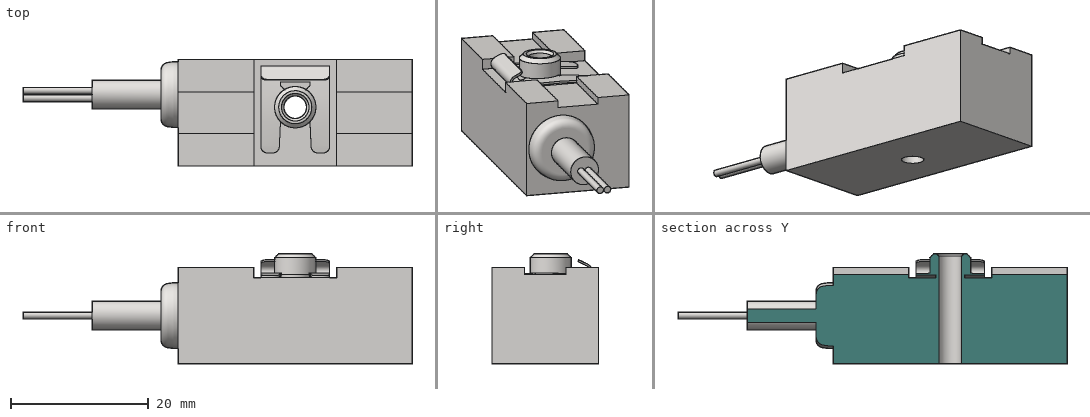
import cadquery as cq
import math

BODY_LENGTH = 34.0
BODY_WIDTH = 15.5
BODY_HEIGHT = 14.0

NOTCH_WIDTH = 12.0
NOTCH_DEPTH = 1.5
GROOVE_WIDTH = 6.0
GROOVE_DEPTH = 1.0
FLOOR_Z = BODY_HEIGHT - NOTCH_DEPTH

SCREW_X = BODY_LENGTH / 2
SCREW_Y = BODY_WIDTH - 6.95
SCREW_TOP_Z = 16.0
HEAD_DIAMETER = 6.0
HEAD_BEVEL_HEIGHT = 0.6
HEAD_TOP_DIAMETER = HEAD_DIAMETER - 2 * HEAD_BEVEL_HEIGHT
HEAD_UNDERSIDE_Z = FLOOR_Z + 0.5
NECK_DIAMETER = 4.2
BORE_DIAMETER = 3.24
BORE_MOUTH_DIAMETER = 4.0
BORE_MOUTH_DEPTH = (BORE_MOUTH_DIAMETER - BORE_DIAMETER) / 2

CLIP_WIDTH = 10.0
CLIP_THICKNESS = 0.3
CLIP_END_SLOPE = math.radians(8)
CLIP_TIP_Y = 1.9
CLIP_BACK_Y = BODY_WIDTH - 1.0
BEND_RADIUS = 1.05
FLAP_ANGLE = math.radians(26)
FLAP_LENGTH = 1.45
FLAP_CORNER_RADIUS = 0.8
LEG_TIP_RADIUS = 1.0
LEG_GAP_AT_ROOT = 4.3
LEG_GAP_AT_TIP = 4.7
LEG_ROOT_Y = SCREW_Y - 2.3
THROAT_WIDTH = 4.0
WINDOW_WIDTH = 4.3
WINDOW_BACK_Y = BODY_WIDTH - 3.3
WINDOW_BEVEL_Y = BODY_WIDTH - 3.8
WINDOW_FRONT_Y = SCREW_Y + THROAT_WIDTH / 2

CABLE_Y = BODY_WIDTH - 5.12
CABLE_Z = 7.0
GLAND_DIAMETER = 9.6
GLAND_LENGTH = 2.5
GLAND_COLLAR_LENGTH = 0.65
GLAND_TAPER = math.radians(8)
GLAND_EDGE_RADIUS = 1.15
CABLE_DIAMETER = 4.2
CABLE_END_X = -12.5
WIRE_DIAMETER = 1.0
WIRE_PITCH = 1.1
WIRE_END_X = -22.5


def make_body():
    """Rectangular block with the cross notch and the lengthwise groove."""
    body = cq.Workplane("XY").box(BODY_LENGTH, BODY_WIDTH, BODY_HEIGHT, centered=False)
    notch = (
        cq.Workplane("XY", origin=(BODY_LENGTH / 2, BODY_WIDTH / 2, FLOOR_Z))
        .rect(NOTCH_WIDTH, BODY_WIDTH)
        .extrude(NOTCH_DEPTH)
    )
    groove = (
        cq.Workplane("XY", origin=(BODY_LENGTH / 2, BODY_WIDTH / 2, BODY_HEIGHT - GROOVE_DEPTH))
        .rect(BODY_LENGTH, GROOVE_WIDTH)
        .extrude(GROOVE_DEPTH)
    )
    return body.cut(notch).cut(groove)


def make_screw():
    """Solid screw with a bevelled head and a narrower neck down to the notch floor."""
    head_radius = HEAD_DIAMETER / 2
    neck_radius = NECK_DIAMETER / 2
    return (
        cq.Workplane("XZ", origin=(SCREW_X, SCREW_Y, 0))
        .moveTo(0, FLOOR_Z)
        .lineTo(neck_radius, FLOOR_Z)
        .lineTo(neck_radius, HEAD_UNDERSIDE_Z)
        .lineTo(head_radius, HEAD_UNDERSIDE_Z)
        .lineTo(head_radius, SCREW_TOP_Z - HEAD_BEVEL_HEIGHT)
        .lineTo(HEAD_TOP_DIAMETER / 2, SCREW_TOP_Z)
        .lineTo(0, SCREW_TOP_Z)
        .close()
        .revolve(360, (0, 0, 0), (0, 1, 0))
    )


def make_bore():
    """Through bore of the screw and body, with a 45 degree countersunk mouth."""
    bore_radius = BORE_DIAMETER / 2
    return (
        cq.Workplane("XZ", origin=(SCREW_X, SCREW_Y, 0))
        .moveTo(0, 0)
        .lineTo(bore_radius, 0)
        .lineTo(bore_radius, SCREW_TOP_Z - BORE_MOUTH_DEPTH)
        .lineTo(BORE_MOUTH_DIAMETER / 2, SCREW_TOP_Z)
        .lineTo(0, SCREW_TOP_Z)
        .close()
        .revolve(360, (0, 0, 0), (0, 1, 0))
    )


def make_bent_strip():
    """Full-width clip strip: bowed plate, round bend at the back, flap rising over the plate."""
    inner_radius = BEND_RADIUS - CLIP_THICKNESS
    bend_y = CLIP_BACK_Y - BEND_RADIUS
    bend_z = FLOOR_Z + BEND_RADIUS * math.cos(CLIP_END_SLOPE)

    def plate_end(radius):
        """Point where the plate meets the bend circle of the given radius tangentially."""
        y = bend_y - radius * math.sin(CLIP_END_SLOPE)
        z = bend_z - radius * math.cos(CLIP_END_SLOPE)
        return (y, z)

    def flap_point(radius, along):
        """Point on the flap face tangent to the bend circle of the given radius."""
        y = bend_y + radius * math.sin(FLAP_ANGLE) - along * math.cos(FLAP_ANGLE)
        z = bend_z + radius * math.cos(FLAP_ANGLE) + along * math.sin(FLAP_ANGLE)
        return (y, z)

    plate_half_span = (plate_end(BEND_RADIUS)[0] - CLIP_TIP_Y) / 2
    crown_y = CLIP_TIP_Y + plate_half_span
    crown_z = FLOOR_Z + plate_half_span * math.tan(CLIP_END_SLOPE / 2)

    strip = (
        cq.Workplane("YZ", origin=(SCREW_X - CLIP_WIDTH / 2, 0, 0))
        .moveTo(CLIP_TIP_Y, FLOOR_Z)
        .threePointArc((crown_y, crown_z), plate_end(BEND_RADIUS))
        .threePointArc((bend_y + BEND_RADIUS, bend_z), flap_point(BEND_RADIUS, 0))
        .lineTo(*flap_point(BEND_RADIUS, FLAP_LENGTH))
        .lineTo(*flap_point(inner_radius, FLAP_LENGTH))
        .lineTo(*flap_point(inner_radius, 0))
        .threePointArc((bend_y + inner_radius, bend_z), plate_end(inner_radius))
        .threePointArc((crown_y, crown_z + CLIP_THICKNESS), (CLIP_TIP_Y, FLOOR_Z + CLIP_THICKNESS))
        .close()
        .extrude(CLIP_WIDTH)
    )
    flap_end_center = flap_point(BEND_RADIUS - CLIP_THICKNESS / 2, FLAP_LENGTH)
    flap_end = cq.selectors.NearestToPointSelector((SCREW_X, *flap_end_center))
    return strip.faces(flap_end).edges("#X").fillet(FLAP_CORNER_RADIUS)


def make_leg_gap():
    """Cutter between the legs, widening slightly toward the rounded leg tips."""
    root = LEG_GAP_AT_ROOT / 2
    tip = LEG_GAP_AT_TIP / 2
    throat = THROAT_WIDTH / 2
    return (
        cq.Workplane("XY", origin=(SCREW_X, 0, FLOOR_Z))
        .polyline([
            (-tip, CLIP_TIP_Y),
            (-root, LEG_ROOT_Y),
            (-throat, LEG_ROOT_Y),
            (-throat, SCREW_Y),
            (throat, SCREW_Y),
            (throat, LEG_ROOT_Y),
            (root, LEG_ROOT_Y),
            (tip, CLIP_TIP_Y),
        ])
        .close()
        .extrude(BEND_RADIUS)
    )


def make_window():
    """Cutter for the opening behind the screw; its sides converge at 45 degrees to the neck."""
    half_width = WINDOW_WIDTH / 2
    front_half_width = half_width - (WINDOW_BEVEL_Y - WINDOW_FRONT_Y)
    return (
        cq.Workplane("XY", origin=(SCREW_X, 0, FLOOR_Z))
        .polyline([
            (-half_width, WINDOW_BACK_Y),
            (-half_width, WINDOW_BEVEL_Y),
            (-front_half_width, WINDOW_FRONT_Y),
            (front_half_width, WINDOW_FRONT_Y),
            (half_width, WINDOW_BEVEL_Y),
            (half_width, WINDOW_BACK_Y),
        ])
        .close()
        .extrude(BEND_RADIUS)
    )


def make_clip():
    """Spring clip with its legs, window and rounded leg tips."""
    clip = make_bent_strip().cut(make_leg_gap()).cut(make_window())
    return clip.faces("<Y").edges("|Z").fillet(LEG_TIP_RADIUS)


def make_gland():
    """Cable gland: short collar at the body, then a tapered nose with a rounded edge."""
    radius = GLAND_DIAMETER / 2
    nose_length = GLAND_LENGTH - GLAND_COLLAR_LENGTH
    nose_radius = radius - nose_length * math.tan(GLAND_TAPER)
    return (
        cq.Workplane("XY", origin=(0, CABLE_Y, CABLE_Z))
        .polyline([
            (0, 0),
            (0, radius),
            (-GLAND_COLLAR_LENGTH, radius),
            (-GLAND_LENGTH, nose_radius),
            (-GLAND_LENGTH, 0),
        ])
        .close()
        .revolve(360, (0, 0, 0), (1, 0, 0))
        .faces("<X")
        .edges()
        .fillet(GLAND_EDGE_RADIUS)
    )


def make_rod(center_y, diameter, start_x, end_x):
    """Round rod along X at the cable height."""
    return (
        cq.Workplane("YZ", origin=(start_x, center_y, CABLE_Z))
        .circle(diameter / 2)
        .extrude(end_x - start_x)
    )


def make_cable():
    """Gland, cable jacket and the two bare wires side by side."""
    cable = make_gland().union(make_rod(CABLE_Y, CABLE_DIAMETER, CABLE_END_X, -GLAND_LENGTH))
    for side in (-1, 1):
        wire_y = CABLE_Y + side * WIRE_PITCH / 2
        cable = cable.union(make_rod(wire_y, WIRE_DIAMETER, WIRE_END_X, CABLE_END_X))
    return cable


result = make_body().union(make_clip()).union(make_screw()).cut(make_bore()).union(make_cable())